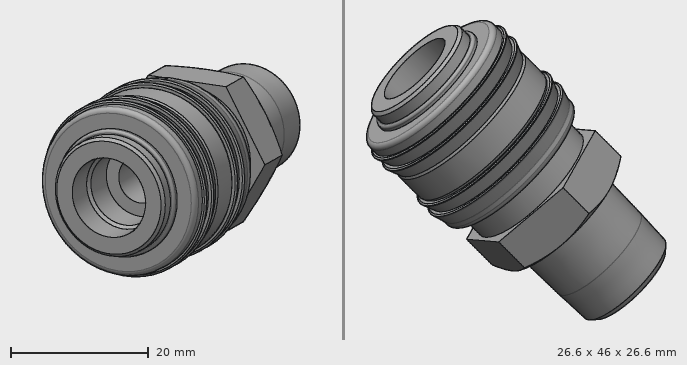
import cadquery as cq
import math

length = 46.0

nose_radius = 8.95
nose_chamfer = 0.45
collar_front = 2.1
collar_radius = 9.6
collar_fillet = 0.45

sleeve_front = 3.0
sleeve_back = 20.98
sleeve_radius = 12.7
sleeve_fillet = 0.8
rib_radius = 13.3
rib_root_radius = 12.5
rib_face_radius = 13.0
rib_lip = 0.15
rib_land = 0.28
rib_length = 2.3
front_rib_start = 5.0
back_rib_start = 14.85
band_taper = 0.4

neck_radius = 10.35
hex_front = 25.0
hex_back = 31.5
hex_across_flats = 22.0
hex_chamfer_angle = 30.0

spigot_root_radius = 8.55
spigot_middle_radius = 8.35
spigot_middle = 39.6
spigot_tip_radius = 8.15
spigot_chamfer_length = 0.87

plug_bore_radius = 6.0
plug_bore_depth = 4.6
socket_radius = 5.5
socket_depth = 10.0
through_radius = 3.5


def revolve(points):
    """Solid of revolution about Y from (radius, y) profile points."""
    return cq.Workplane("XY").polyline(points).close().revolve(360, (0, 0), (0, 1))


def cylinder(radius, start, end):
    return revolve([(0, start), (radius, start), (radius, end), (0, end)])


def rib(start):
    """Sawtooth rib with a flat front face, a beveled lip and a cone falling toward the back."""
    return [
        (rib_root_radius, start),
        (rib_face_radius, start),
        (rib_radius, start + rib_lip),
        (rib_radius, start + rib_land),
        (rib_root_radius, start + rib_length),
    ]


def make_nose():
    nose = cylinder(nose_radius, 0, sleeve_front).faces("<Y").chamfer(nose_chamfer)
    collar = cylinder(collar_radius, collar_front, sleeve_front)
    return nose.union(collar.faces("<Y").edges().fillet(collar_fillet))


def make_sleeve():
    front_ribs_end = front_rib_start + 2 * rib_length
    profile = [(0, sleeve_front), (sleeve_radius, sleeve_front), (sleeve_radius, front_rib_start)]
    profile += rib(front_rib_start)[1:]
    profile += rib(front_rib_start + rib_length)[1:]
    profile += [
        (sleeve_radius, front_ribs_end + band_taper),
        (sleeve_radius, back_rib_start - band_taper),
    ]
    profile += rib(back_rib_start)
    profile += rib(back_rib_start + rib_length)[1:-1]
    profile += [
        (sleeve_radius, back_rib_start + 2 * rib_length),
        (sleeve_radius, sleeve_back),
        (0, sleeve_back),
    ]
    sleeve = revolve(profile)
    return sleeve.faces("<Y or >Y").edges().fillet(sleeve_fillet)


def make_hexagon():
    """Hexagon with corners on X, its back corners cut by a cone."""
    corner_radius = hex_across_flats / 2 / math.cos(math.pi / 6)
    prism = (
        cq.Workplane("XZ", origin=(0, hex_front, 0))
        .polygon(6, 2 * corner_radius)
        .extrude(hex_front - hex_back)
    )
    flat_radius = hex_across_flats / 2
    cone_radius = 2 * corner_radius
    cone_drop = (cone_radius - flat_radius) * math.tan(math.radians(hex_chamfer_angle))
    envelope = revolve([
        (0, 0),
        (cone_radius, 0),
        (cone_radius, hex_back - cone_drop),
        (flat_radius, hex_back),
        (0, hex_back),
    ])
    return prism.intersect(envelope)


def make_spigot():
    chamfer_start = length - spigot_chamfer_length
    return revolve([
        (0, hex_back),
        (spigot_root_radius, hex_back),
        (spigot_middle_radius, spigot_middle),
        (spigot_tip_radius, chamfer_start),
        (spigot_tip_radius - spigot_chamfer_length, length),
        (0, length),
    ])


def make_bore():
    step = plug_bore_radius - socket_radius
    return revolve([
        (0, 0),
        (plug_bore_radius, 0),
        (plug_bore_radius, plug_bore_depth),
        (socket_radius, plug_bore_depth + step),
        (socket_radius, socket_depth),
        (through_radius, socket_depth),
        (through_radius, length),
        (0, length),
    ])


result = (
    make_nose()
    .union(make_sleeve())
    .union(cylinder(neck_radius, sleeve_back, hex_front))
    .union(make_hexagon())
    .union(make_spigot())
    .cut(make_bore())
)